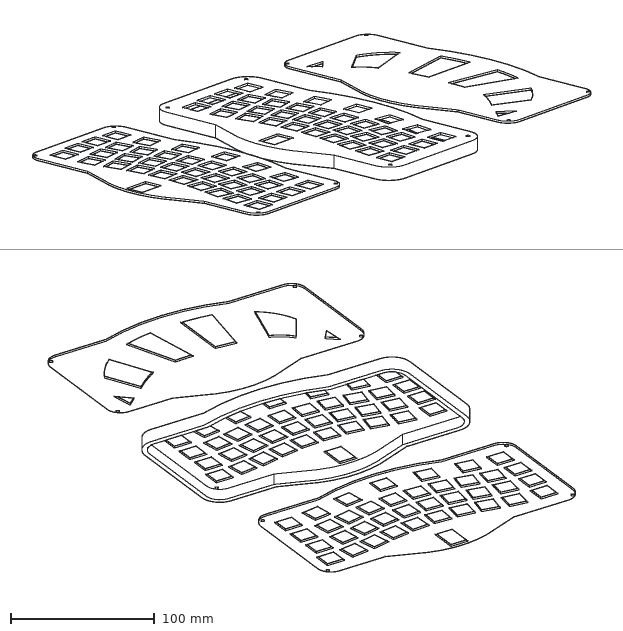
import cadquery as cq

CASE_HEIGHT = 9.8
PLATE_THICKNESS = 1.5
WALL = 4.0
SWITCH_PLATE_Y = -136.5
CASE_Y = 6.3
BOTTOM_PLATE_Y = 137.0

SIDE_X = 105.5
BACK_Y = 50.5
FRONT_Y = -44.2
CORNER_RADIUS = 11.0
BACK_BULGE_RISE = 8.2
BACK_BULGE_HALF_WIDTH = 51.0
FRONT_BULGE_X = 3.5
FRONT_BULGE_HALF_WIDTH = 53.2
FRONT_ARC_HALF_WIDTH = 33.5
FRONT_SLOPE_DROP = 7.5
FRONT_BULGE_DROP = 15.0

BOTTOM_PLATE_LEFT = -106.8
BOTTOM_PLATE_RIGHT = 103.5

HOLE_DIAMETER = 2.5
SCREW_POINTS = [(-101.5, 45.5), (100.0, 45.8), (-101.5, -39.5), (101.5, -39.5)]
BOTTOM_SCREW_POINTS = [(-102.5, 45.8), (99.0, 46.0), (-102.5, -39.5), (99.0, -39.5)]

KEY_SIZE = 14.0
THUMB_SIZE = (14.0, 20.5)
THUMB_POINT = (3.0, -46.0)
BACK_ROW = [
    (-87.5, 32.0, 0),
    (-62.5, 35.0, 8),
    (-31.5, 40.0, 8),
    (1.0, 44.2, 0),
    (33.5, 39.5, -8),
    (63.0, 34.5, -8),
    (87.5, 32.0, 0),
]
COLUMN_TILTS = [0, 8, 12, 8, 3, -3, -8, -12, -8, 0]
LETTER_ROWS = [
    (
        (-89.5, -69.5, -50.5, -31.3, -12.0, 7.5, 27.5, 47.0, 65.7, 87.5),
        (12.5, 13.5, 17.2, 20.5, 22.0, 22.3, 20.7, 17.5, 14.0, 12.0),
    ),
    (
        (-89.0, -68.0, -48.0, -29.5, -10.5, 8.5, 27.8, 46.5, 65.7, 87.2),
        (-6.5, -5.0, -2.0, 1.5, 3.0, 3.0, 1.5, -2.0, -5.0, -7.0),
    ),
    (
        (-87.0, -63.5, -43.5, -24.5, -5.5, 13.5, 32.5, 51.2, 70.0, 90.5),
        (-25.5, -24.0, -20.0, -17.0, -15.5, -16.0, -18.5, -22.0, -24.5, -26.2),
    ),
]

FAN_WINDOWS = [
    ((-78.0, 6.0), (-70.0, 20.5), (-59.0, 30.5), (-47.7, -6.3), (-56.0, -10.5), (-63.0, -17.2)),
    ((-32.0, 42.5), (-20.0, 44.2), (-7.5, 45.0), (-7.5, 0.5), (-15.5, -0.5), (-24.3, -1.0)),
    ((18.5, 44.0), (30.0, 42.0), (41.5, 38.7), (26.5, -1.0), (19.0, -0.8), (11.5, -0.8)),
    ((63.5, 27.0), (72.8, 17.5), (80.5, 6.3), (67.3, -20.5), (58.0, -12.5), (47.7, -6.0)),
]
CORNER_WINDOWS = [
    ((-86.5, -20.0), (-79.5, -29.0), (-87.5, -36.0)),
    ((89.5, -20.0), (79.0, -29.7), (87.0, -36.8)),
]


def plate_outline(left, right):
    """Closed plate outline: rounded corners, a curved back and a bulged front."""
    r = CORNER_RADIUS
    front_low_y = FRONT_Y - FRONT_BULGE_DROP
    slope_end_y = FRONT_Y - FRONT_SLOPE_DROP
    return (
        cq.Workplane("XY")
        .moveTo(left, BACK_Y - r)
        .radiusArc((left + r, BACK_Y), r)
        .lineTo(-BACK_BULGE_HALF_WIDTH, BACK_Y)
        .threePointArc((0, BACK_Y + BACK_BULGE_RISE), (BACK_BULGE_HALF_WIDTH, BACK_Y))
        .lineTo(right - r, BACK_Y)
        .radiusArc((right, BACK_Y - r), r)
        .lineTo(right, FRONT_Y + r)
        .radiusArc((right - r, FRONT_Y), r)
        .lineTo(FRONT_BULGE_X + FRONT_BULGE_HALF_WIDTH, FRONT_Y)
        .lineTo(FRONT_BULGE_X + FRONT_ARC_HALF_WIDTH, slope_end_y)
        .threePointArc(
            (FRONT_BULGE_X, front_low_y), (FRONT_BULGE_X - FRONT_ARC_HALF_WIDTH, slope_end_y)
        )
        .lineTo(FRONT_BULGE_X - FRONT_BULGE_HALF_WIDTH, FRONT_Y)
        .lineTo(left + r, FRONT_Y)
        .radiusArc((left, FRONT_Y + r), r)
        .close()
    )


def key_places():
    """Centre and tilt of every square key opening."""
    places = list(BACK_ROW)
    for xs, ys in LETTER_ROWS:
        places += zip(xs, ys, COLUMN_TILTS)
    return places


def key_cutters():
    """Prisms that cut the key openings through any of the parts."""
    prisms = cq.Workplane("XY").center(*THUMB_POINT).rect(*THUMB_SIZE).extrude(CASE_HEIGHT)
    for x, y, tilt in key_places():
        key = cq.Workplane("XY").rect(KEY_SIZE, KEY_SIZE).extrude(CASE_HEIGHT)
        prisms.add(key.rotate((0, 0, 0), (0, 0, 1), tilt).translate((x, y, 0)))
    return prisms


def screw_cutters(points):
    """Cylinders that cut the corner screw holes."""
    return cq.Workplane("XY").pushPoints(points).circle(HOLE_DIAMETER / 2).extrude(CASE_HEIGHT)


def cut_all(body, cutters):
    """The body with every cutter removed from it."""
    return body.cut(cq.Workplane(cq.Compound.makeCompound(cutters.vals())))


def make_switch_plate():
    """Thin plate with the key openings, the size of the space inside the case."""
    plate = plate_outline(-SIDE_X, SIDE_X).extrude(PLATE_THICKNESS)
    plate = cut_all(plate, key_cutters())
    return cut_all(plate, screw_cutters(SCREW_POINTS))


def make_case():
    """Tray that is open underneath, with a thin key deck on top and a wall all round."""
    case = plate_outline(-SIDE_X, SIDE_X).offset2D(WALL).extrude(CASE_HEIGHT)
    case = case.cut(plate_outline(-SIDE_X, SIDE_X).extrude(CASE_HEIGHT - PLATE_THICKNESS))
    case = cut_all(case, key_cutters())
    return cut_all(case, screw_cutters(SCREW_POINTS))


def make_bottom_plate():
    """Thin plate with a fan of windows and no key openings."""
    plate = plate_outline(BOTTOM_PLATE_LEFT, BOTTOM_PLATE_RIGHT).extrude(PLATE_THICKNESS)
    for outer_a, outer_mid, outer_b, inner_a, inner_mid, inner_b in FAN_WINDOWS:
        window = (
            cq.Workplane("XY")
            .moveTo(*outer_a)
            .threePointArc(outer_mid, outer_b)
            .lineTo(*inner_a)
            .threePointArc(inner_mid, inner_b)
            .close()
            .extrude(PLATE_THICKNESS)
        )
        plate = plate.cut(window)
    for corners in CORNER_WINDOWS:
        plate = plate.cut(cq.Workplane("XY").polyline(corners).close().extrude(PLATE_THICKNESS))
    return cut_all(plate, screw_cutters(BOTTOM_SCREW_POINTS))


PLATE_Z = CASE_HEIGHT - PLATE_THICKNESS
switch_plate = make_switch_plate().translate((0, SWITCH_PLATE_Y, PLATE_Z))
case = make_case().translate((0, CASE_Y, 0))
bottom_plate = make_bottom_plate().translate((0, BOTTOM_PLATE_Y, PLATE_Z))

result = cq.Compound.makeCompound([switch_plate.val(), case.val(), bottom_plate.val()])